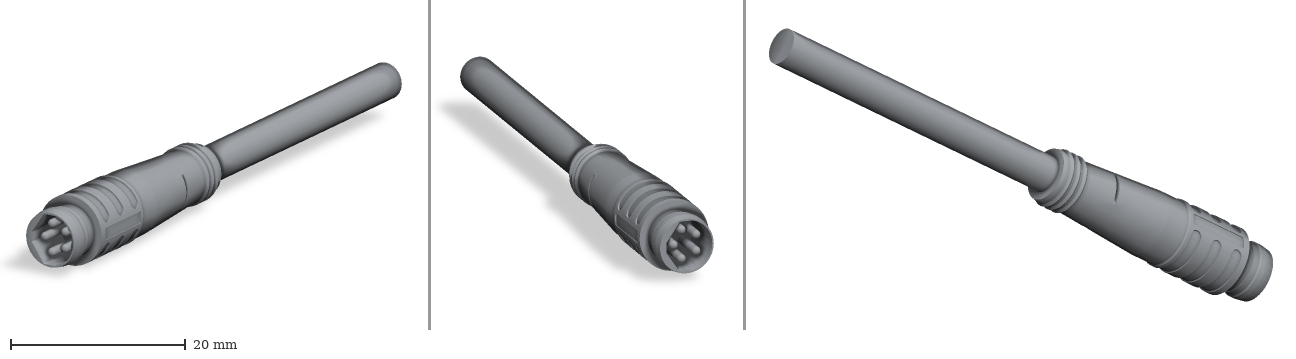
import cadquery as cq
import math

LENGTH = 71.7
CABLE_DIA = 4.4

NOSE_DIA = 6.5
HEAD_DIA = 6.9
HEAD_TAPER_END = 1.15
HEAD_END = 1.9
HEAD_BACK_END = 2.1
NOSE_END = 2.95
NECK_DIA = 6.3

SLEEVE_DIA = 8.4
SLEEVE_START = 4.4
SLEEVE_END = 13.5
BARREL_DIA = 8.0
BARREL_END = 16.5
SLEEVE_CHAMFER = (SLEEVE_DIA - BARREL_DIA) / 2

GROOVE_COUNT = 3
GROOVE_WIDTH = 1.5
GROOVE_START = 5.2
GROOVE_END = 12.8
GROOVE_PITCH = (GROOVE_END - GROOVE_START - GROOVE_WIDTH) / (GROOVE_COUNT - 1)
GROOVE_TIP_Z = 1.2
RECESS_HEIGHT = 1.5
RECESS_CORNER = 0.2
RECESS_LENGTH = GROOVE_END - GROOVE_START

COLLAR_DIA = 6.5
TAPER_END = 27.75
SLOT_Y = 23.7
SLOT_WIDTH = 0.4
SLOT_FLOOR_X = 2.9

RIB_HEIGHT = 0.3
RIB_HALF_WIDTH = 0.32
RIB_COUNT = 3
FIRST_RIB_Y = 28.5
LAST_RIB_Y = 30.4
RIB_PITCH = (LAST_RIB_Y - FIRST_RIB_Y) / (RIB_COUNT - 1)
COLLAR_TAPER_START = 31.2
COLLAR_END = 31.6
COLLAR_END_DIA = 6.3

SOCKET_MOUTH_DIA = 6.2
SOCKET_FLOOR_DIA = 5.45
SOCKET_DEPTH = 5.75
KEY_TIP_X = -2.5
KEY_TIP_HALF = 0.6
KEY_SIDE_X = -0.85
KEY_SIDE_Z = 3.0
PIN_DIA = 1.0
PIN_TIP_Y = 0.5
SIDE_PIN_X = -1.3
PIN_CIRCLE_DIA = 3.5
PIN_ANGLES = (34, 101, -101, -34)


def make_body():
    """Revolve the outline of the connector and cable about the Y axis."""
    outline = (
        cq.Workplane("XY")
        .lineTo(NOSE_DIA / 2, 0)
        .lineTo(HEAD_DIA / 2, HEAD_TAPER_END)
        .lineTo(HEAD_DIA / 2, HEAD_END)
        .lineTo(NOSE_DIA / 2, HEAD_BACK_END)
        .lineTo(NOSE_DIA / 2, NOSE_END)
        .lineTo(NECK_DIA / 2, NOSE_END)
        .lineTo(NECK_DIA / 2, SLEEVE_START)
        .lineTo(SLEEVE_DIA / 2, SLEEVE_START)
        .lineTo(SLEEVE_DIA / 2, SLEEVE_END - SLEEVE_CHAMFER)
        .lineTo(BARREL_DIA / 2, SLEEVE_END)
        .lineTo(BARREL_DIA / 2, BARREL_END)
        .lineTo(COLLAR_DIA / 2, TAPER_END)
    )
    for i in range(RIB_COUNT):
        rib_y = FIRST_RIB_Y + i * RIB_PITCH
        outline = (
            outline.lineTo(COLLAR_DIA / 2, rib_y - RIB_HALF_WIDTH)
            .lineTo(COLLAR_DIA / 2 + RIB_HEIGHT, rib_y)
            .lineTo(COLLAR_DIA / 2, rib_y + RIB_HALF_WIDTH)
        )
    outline = (
        outline.lineTo(COLLAR_DIA / 2, COLLAR_TAPER_START)
        .lineTo(COLLAR_END_DIA / 2, COLLAR_END)
        .lineTo(CABLE_DIA / 2, COLLAR_END)
        .lineTo(CABLE_DIA / 2, LENGTH)
        .lineTo(0, LENGTH)
        .close()
    )
    return outline.revolve(360, (0, 0), (0, 1))


def along_y(diameter, start, end):
    """Cylinder on the Y axis from start to end."""
    return cq.Workplane("XZ", origin=(0, start, 0)).circle(diameter / 2).extrude(start - end)


def grip_grooves():
    """Shallow bands around the top and bottom, with round ends on both sides."""
    reach = SLEEVE_DIA
    cutters = cq.Workplane("YZ")
    for i in range(GROOVE_COUNT):
        front = GROOVE_START + i * GROOVE_PITCH
        middle = front + GROOVE_WIDTH / 2
        back = front + GROOVE_WIDTH
        for side in (1, -1):
            shoulder_z = side * (GROOVE_TIP_Z + GROOVE_WIDTH / 2)
            cutters = (
                cutters.moveTo(front, side * reach)
                .lineTo(front, shoulder_z)
                .threePointArc((middle, side * GROOVE_TIP_Z), (back, shoulder_z))
                .lineTo(back, side * reach)
                .close()
            )
    bands = cutters.extrude(reach, both=True)
    return bands.cut(along_y(BARREL_DIA, SLEEVE_START, SLEEVE_END))


def side_recess(side):
    """Long flat-bottomed recess on one side of the sleeve, cut to the groove depth."""
    depth = SLEEVE_DIA / 2
    middle_y = GROOVE_START + RECESS_LENGTH / 2
    return (
        cq.Workplane("XY")
        .box(depth, RECESS_LENGTH, RECESS_HEIGHT)
        .edges("|X")
        .fillet(RECESS_CORNER)
        .translate((side * (BARREL_DIA + depth) / 2, middle_y, 0))
    )


def side_slot(side):
    """Narrow straight slot across one side of the tapered body."""
    depth = BARREL_DIA / 2
    slot = cq.Workplane("XY").box(depth, SLOT_WIDTH, BARREL_DIA)
    return slot.translate((side * (SLOT_FLOOR_X + depth / 2), SLOT_Y, 0))


def socket():
    """Slightly tapered plug socket with a polygonal key left standing on the -X side."""
    bore = (
        cq.Workplane("XY")
        .lineTo(SOCKET_MOUTH_DIA / 2, 0)
        .lineTo(SOCKET_FLOOR_DIA / 2, SOCKET_DEPTH)
        .lineTo(0, SOCKET_DEPTH)
        .close()
        .revolve(360, (0, 0), (0, 1))
    )
    opening = (
        cq.Workplane("XZ")
        .moveTo(KEY_SIDE_X, KEY_SIDE_Z)
        .lineTo(KEY_TIP_X, KEY_TIP_HALF)
        .lineTo(KEY_TIP_X, -KEY_TIP_HALF)
        .lineTo(KEY_SIDE_X, -KEY_SIDE_Z)
        .lineTo(SOCKET_MOUTH_DIA, -KEY_SIDE_Z)
        .lineTo(SOCKET_MOUTH_DIA, KEY_SIDE_Z)
        .close()
        .extrude(-SOCKET_DEPTH)
    )
    return bore.intersect(opening)


def pin(x, z):
    """Contact pin with a hemispherical tip, rooted in the socket floor."""
    radius = PIN_DIA / 2
    shank_start = PIN_TIP_Y + radius
    root = SOCKET_DEPTH + radius
    shank = along_y(PIN_DIA, shank_start, root)
    tip = cq.Workplane("XY").sphere(radius).translate((0, shank_start, 0))
    return shank.union(tip).translate((x, 0, z))


result = make_body().cut(grip_grooves()).cut(socket())
for side in (1, -1):
    result = result.cut(side_recess(side)).cut(side_slot(side))

result = result.union(pin(SIDE_PIN_X, 0))
for angle in PIN_ANGLES:
    pin_x = PIN_CIRCLE_DIA / 2 * math.cos(math.radians(angle))
    pin_z = PIN_CIRCLE_DIA / 2 * math.sin(math.radians(angle))
    result = result.union(pin(pin_x, pin_z))